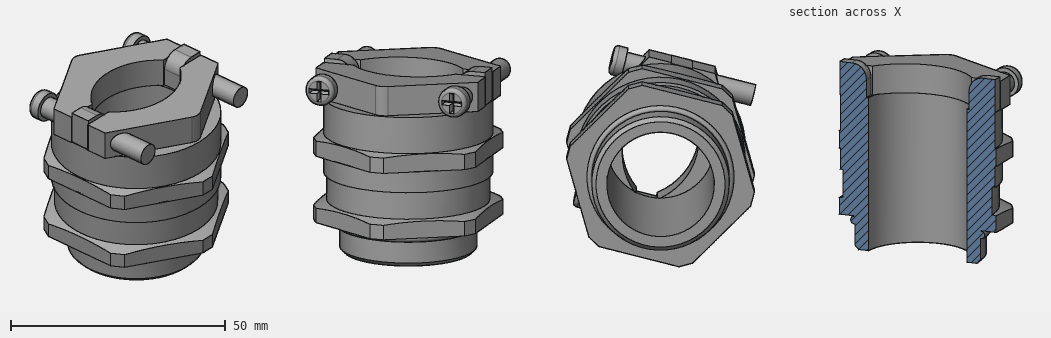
import cadquery as cq
import math

total_height = 45.0
ring_bottom_z = 6.08
lower_nut_z = 8.0
lower_body_top_z = 18.9
upper_nut_z = 24.0
body_top_z = 37.0
clamp_top_z = 44.0

spigot_radius = 16.0
spigot_chamfer = 1.0
lower_body_radius = 19.05
upper_body_radius = 19.75
bore_radius = 12.5

ring_section_radius = (lower_nut_z - ring_bottom_z) / 2
ring_outer_radius = 17.15
ring_center_radius = ring_outer_radius - ring_section_radius

nut_across_flats = 40.0
nut_across_corners = 44.3
nut_height = 4.3
nut_cone_angle = 15.0

clamp_depth = nut_across_flats
clamp_corner_x = 7.9
clamp_side_angle = 60.0
clamp_corner_fillet = 3.0
opening_half_width = 8.75
opening_tip_y = 12.65

tab_width = 5.05
tab_inner_y = 13.0
tab_outer_y = 19.8
tab_round = 3.65

screw_y = 16.4
screw_z = 40.6
head_start_x = -16.0
head_length = 3.0
head_radius = 3.5
head_round = 1.0
shank_radius = 2.5
shank_end_x = 18.0

recess_length = 4.85
recess_width = 1.1
recess_depth = 1.0
recess_taper = 26.0


def cylinder(radius, bottom_z, top_z):
    return cq.Workplane("XY").workplane(offset=bottom_z).circle(radius).extrude(top_z - bottom_z)


def hexagon(across_flats, bottom_z, height):
    corner_diameter = across_flats / math.cos(math.radians(30))
    return cq.Workplane("XY").workplane(offset=bottom_z).polygon(6, corner_diameter).extrude(height)


def make_nut(bottom_z, cone_radius):
    """Hexagon with flattened corners and a top that slopes down outside cone_radius."""
    corner_cut = hexagon(nut_across_corners, bottom_z, nut_height).rotate((0, 0, 0), (0, 0, 1), 30)
    rim_radius = nut_across_corners
    top_z = bottom_z + nut_height
    rim_z = top_z - (rim_radius - cone_radius) * math.tan(math.radians(nut_cone_angle))
    cone = (
        cq.Workplane("XZ")
        .moveTo(0, top_z)
        .lineTo(cone_radius, top_z)
        .lineTo(rim_radius, rim_z)
        .lineTo(0, rim_z)
        .close()
        .revolve(360, (0, 0, 0), (0, 1, 0))
    )
    return hexagon(nut_across_flats, bottom_z, nut_height).intersect(corner_cut).intersect(cone)


def make_body():
    spigot = cylinder(spigot_radius, 0, lower_nut_z).faces("<Z").chamfer(spigot_chamfer)
    ring = (
        cq.Workplane("XZ")
        .moveTo(bore_radius, ring_bottom_z)
        .lineTo(ring_center_radius, ring_bottom_z)
        .threePointArc(
            (ring_outer_radius, ring_bottom_z + ring_section_radius),
            (ring_center_radius, lower_nut_z),
        )
        .lineTo(bore_radius, lower_nut_z)
        .close()
        .revolve(360, (0, 0, 0), (0, 1, 0))
    )
    lower_body = cylinder(lower_body_radius, lower_nut_z, lower_body_top_z)
    upper_body = cylinder(upper_body_radius, lower_body_top_z, body_top_z)
    body = spigot.union(ring).union(lower_body).union(upper_body)
    body = body.union(make_nut(lower_nut_z, lower_body_radius))
    body = body.union(make_nut(upper_nut_z, upper_body_radius))
    return body.cut(cylinder(bore_radius, 0, body_top_z))


def make_clamp():
    """Six-sided block with an opening bounded by two shallow arcs."""
    half_depth = clamp_depth / 2
    side_x = clamp_corner_x + half_depth / math.tan(math.radians(clamp_side_angle))
    height = clamp_top_z - body_top_z
    opening_tip_x = tab_width / 2
    outline = [
        (side_x, 0),
        (clamp_corner_x, half_depth),
        (-clamp_corner_x, half_depth),
        (-side_x, 0),
        (-clamp_corner_x, -half_depth),
        (clamp_corner_x, -half_depth),
    ]
    base = cq.Workplane("XY").workplane(offset=body_top_z)
    block = base.polyline(outline).close().extrude(height)
    block = block.edges("|Z and (>X or <X)").fillet(clamp_corner_fillet)
    opening = (
        base.moveTo(opening_tip_x, -opening_tip_y)
        .threePointArc((opening_half_width, 0), (opening_tip_x, opening_tip_y))
        .lineTo(-opening_tip_x, opening_tip_y)
        .threePointArc((-opening_half_width, 0), (-opening_tip_x, -opening_tip_y))
        .close()
        .extrude(height)
    )
    tab_gap = base.rect(tab_width, clamp_depth).extrude(height)
    return block.cut(opening).cut(tab_gap)


def make_tab():
    """Upright tab on the +Y side, rounded over toward the bore."""
    round_shift = tab_round * math.sqrt(0.5)
    return (
        cq.Workplane("YZ")
        .workplane(offset=-tab_width / 2)
        .moveTo(tab_outer_y, body_top_z)
        .lineTo(tab_outer_y, total_height)
        .lineTo(tab_inner_y + tab_round, total_height)
        .threePointArc(
            (tab_inner_y + tab_round - round_shift, total_height - tab_round + round_shift),
            (tab_inner_y, total_height - tab_round),
        )
        .lineTo(tab_inner_y, body_top_z)
        .close()
        .extrude(tab_width)
    )


def make_screw(y):
    """Round-headed screw along X with a cross recess in its -X face."""
    face = cq.Workplane("YZ", origin=(head_start_x, y, screw_z))
    head = face.circle(head_radius).extrude(head_length).faces("<X").edges().fillet(head_round)
    shank_length = shank_end_x - head_start_x - head_length
    shank = face.workplane(offset=head_length).circle(shank_radius).extrude(shank_length)
    screw = head.union(shank)
    for size in ((recess_length, recess_width), (recess_width, recess_length)):
        screw = screw.cut(face.rect(*size).extrude(recess_depth, taper=recess_taper))
    return screw


tab = make_tab()
result = make_body().union(make_clamp()).union(tab).union(tab.mirror("XZ"))
for side in (-1, 1):
    result = result.union(make_screw(side * screw_y))